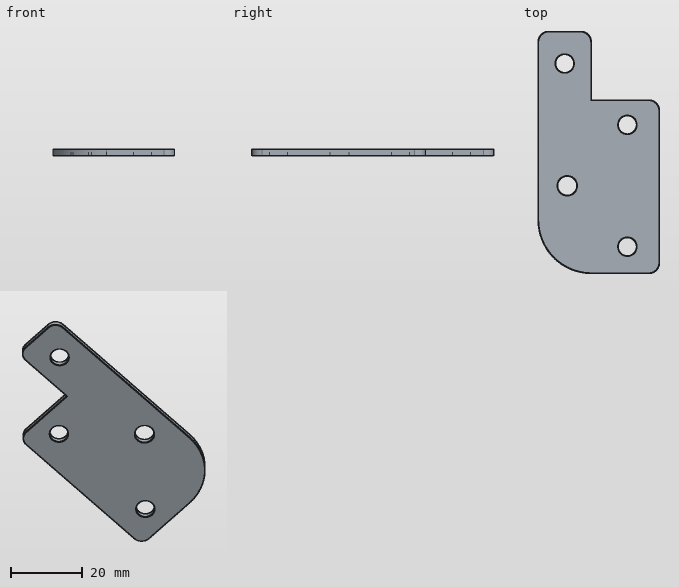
import cadquery as cq

width = 34.0
length = 67.75
thickness = 2.0
tab_width = 15.0
body_length = 48.6
large_radius = 15.0
corner_radius = 3.0
edge_chamfer = 0.2

small_hole_diameter = 5.0
large_hole_diameter = 5.3
tab_hole = (tab_width / 2, 58.75)
right_hole_x = 25.0
right_hole_low_y = 7.5
right_hole_high_y = 41.6
large_hole = (8.2, (right_hole_low_y + right_hole_high_y) / 2)
small_holes = [
    tab_hole,
    (right_hole_x, right_hole_low_y),
    (right_hole_x, right_hole_high_y),
]


def make_plate():
    """Flat plate with a narrow tab and rounded corners."""
    outline = [
        (0, 0),
        (width, 0),
        (width, body_length),
        (tab_width, body_length),
        (tab_width, length),
        (0, length),
    ]
    plate = cq.Workplane("XY").polyline(outline).close().extrude(thickness)

    corner_radii = [
        (0, 0, large_radius),
        (width, 0, corner_radius),
        (width, body_length, corner_radius),
        (tab_width, length, corner_radius),
        (0, length, corner_radius),
    ]
    for x, y, radius in corner_radii:
        corner = cq.NearestToPointSelector((x, y, thickness / 2))
        plate = plate.edges("|Z").edges(corner).fillet(radius)
    return plate


def drill(plate, centers, diameter):
    """Cut through holes at the given centers."""
    cutter = cq.Workplane("XY").pushPoints(centers).circle(diameter / 2).extrude(thickness)
    return plate.cut(cutter)


plate = make_plate()
plate = drill(plate, small_holes, small_hole_diameter)
plate = drill(plate, [large_hole], large_hole_diameter)

result = plate.faces("<Z or >Z").edges().chamfer(edge_chamfer)